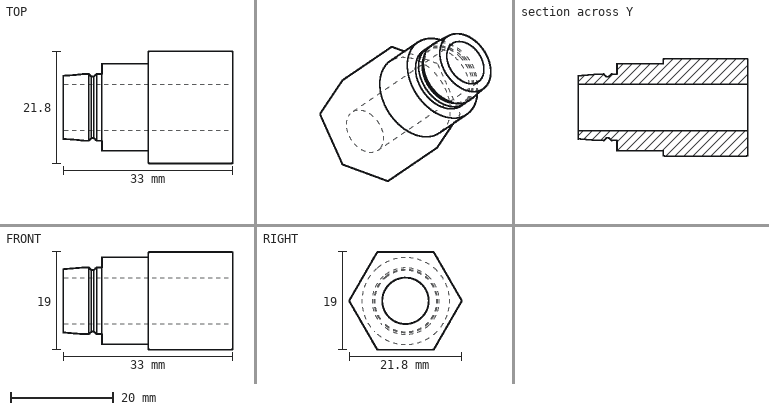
import cadquery as cq
import math

total_length = 33.0
hex_length = 16.47
collar_length = 9.0
taper_length = 4.0
groove_start = 5.0
groove_depth = 0.5
groove_floor_width = 0.5

tip_radius = 6.17
spigot_radius = 6.5
collar_radius = 8.48
bore_radius = 4.5
hex_across_flats = 19.0
hex_edge_radius = 0.3

hex_start = total_length - hex_length
collar_start = hex_start - collar_length


def make_turned_body():
    """Grooved, tapered spigot and collar, revolved about the X axis."""
    floor_start = groove_start + groove_depth
    floor_end = floor_start + groove_floor_width
    groove_end = floor_end + groove_depth
    floor_radius = spigot_radius - groove_depth
    profile = [
        (0, 0),
        (0, tip_radius),
        (taper_length, spigot_radius),
        (groove_start, spigot_radius),
        (floor_start, floor_radius),
        (floor_end, floor_radius),
        (groove_end, spigot_radius),
        (collar_start, spigot_radius),
        (collar_start, collar_radius),
        (hex_start, collar_radius),
        (hex_start, 0),
    ]
    return cq.Workplane("XZ").polyline(profile).close().revolve(360, (0, 0, 0), (1, 0, 0))


def make_hexagon():
    """Hexagon with corners at +Y and -Y, flats at top and bottom, all edges rounded."""
    across_corners = hex_across_flats / math.cos(math.radians(30))
    prism = (
        cq.Workplane("YZ", origin=(hex_start, 0, 0))
        .polygon(6, across_corners)
        .extrude(hex_length)
    )
    return prism.edges().fillet(hex_edge_radius)


def make_bore():
    """Straight hole through the whole length."""
    return cq.Workplane("YZ").circle(bore_radius).extrude(total_length)


result = make_turned_body().union(make_hexagon()).cut(make_bore())